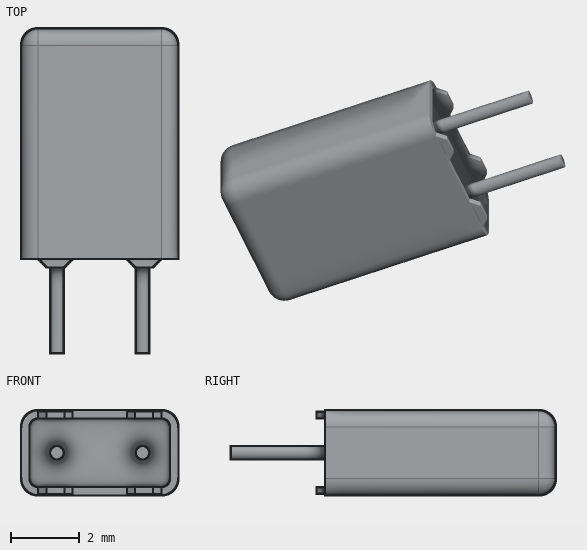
import cadquery as cq

total_length = 9.5
width = 4.6
height = 2.5

pin_projection = 2.755
housing_length = total_length - pin_projection
edge_radius = 0.5
wall = 0.25
recess_depth = 0.25
recess_radius = edge_radius - wall

tab_base_width = 1.01
tab_height = 0.25
tab_thickness = 0.2
tab_center_x = 1.29

pin_diameter = 0.4
pin_spacing = 2.5



def make_tab(center_x, bottom_z):
    """Trapezoidal tab that narrows away from the open face."""
    half_base = tab_base_width / 2
    half_tip = half_base - tab_height
    return (
        cq.Workplane("XY", origin=(center_x, 0, bottom_z))
        .polyline([
            (-half_base, 0),
            (-half_tip, -tab_height),
            (half_tip, -tab_height),
            (half_base, 0),
        ])
        .close()
        .extrude(tab_thickness)
    )


def make_housing():
    """Rounded block with a shallow recess and four tabs at its open face."""
    body = (
        cq.Workplane("XY")
        .box(width, housing_length, height, centered=(True, False, True))
        .edges("|Y or >Y")
        .fillet(edge_radius)
    )
    recess = (
        cq.Workplane("XY")
        .box(width - 2 * wall, recess_depth, height - 2 * wall, centered=(True, False, True))
        .edges("|Y")
        .fillet(recess_radius)
    )
    body = body.cut(recess)

    inner_wall_z = height / 2 - wall
    for center_x in (-tab_center_x, tab_center_x):
        for bottom_z in (-inner_wall_z - tab_thickness, inner_wall_z):
            body = body.union(make_tab(center_x, bottom_z))
    return body


def make_pin(center_x):
    """Round pin standing on the recess floor."""
    return (
        cq.Workplane("XZ", origin=(center_x, recess_depth, 0))
        .circle(pin_diameter / 2)
        .extrude(pin_projection + recess_depth)
    )


housing = make_housing()
pins = [make_pin(side * pin_spacing / 2) for side in (-1, 1)]

result = cq.Compound.makeCompound([housing.val(), *[pin.val() for pin in pins]])